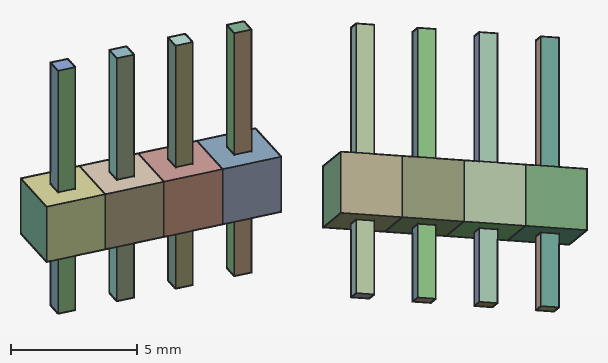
import cadquery as cq

pin_count = 4
pitch = 2.54
block_height = 2.5
pin_width = 0.75
pin_above = 5.5
pin_below = 3.0
pin_length = pin_below + block_height + pin_above


def make_pin(y):
    """Square pin on the centre line of a block; the block's bottom face is at Z = 0."""
    return (
        cq.Workplane("XY", origin=(0, y, -pin_below))
        .rect(pin_width, pin_width)
        .extrude(pin_length)
    )


def make_block(y):
    """Housing block with a square through-hole that fits its pin."""
    return (
        cq.Workplane("XY", origin=(0, y, 0))
        .rect(pitch, pitch)
        .rect(pin_width, pin_width)
        .extrude(block_height)
    )


bodies = []
for index in range(pin_count):
    row_y = (index - (pin_count - 1) / 2) * pitch
    bodies.append(make_block(row_y).val())
    bodies.append(make_pin(row_y).val())

result = cq.Compound.makeCompound(bodies)